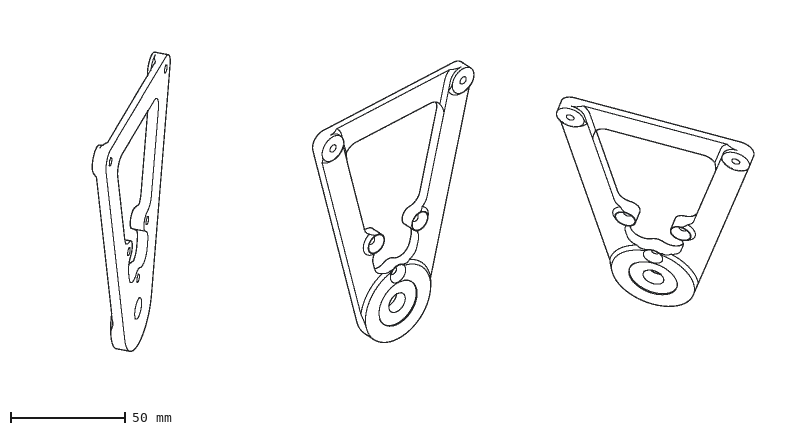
import cadquery as cq
import math

thickness = 6.4
leg_face = 1.5
bar_face = 3.3

hub_radius = 19.1
hub_bore = 9.5
hub_recess = 22.3
hub_recess_depth = 0.6

end_radius = 6.4
end_y = 38.1
end_z = 101.9
bar_height = 2 * end_radius
bar_corner_radius = 6.4

pin_hole = 3.6
screw_diameter = 9.5
screw_radius = screw_diameter / 2
sink_diameter = 8.9
sink_angle = 82.0
side_screw = (12.7, 38.2)
hub_screw = (0.0, 15.9)
web_radius = 6.4

tilt = math.atan2(end_y, end_z) - math.asin((hub_radius - end_radius) / math.hypot(end_y, end_z))
along = (math.sin(tilt), math.cos(tilt))
inward = (-math.cos(tilt), math.sin(tilt))


def leg_point(s, d):
    """Point at s along the leg from its upper end, d inward of its inner edge."""
    offset = end_radius + d
    return (
        end_y + s * along[0] + offset * inward[0],
        end_z + s * along[1] + offset * inward[1],
    )


def inner_edge_at(z):
    """Point of the leg's inner edge at height z."""
    s = (z - leg_point(0, 0)[1]) / along[1]
    return leg_point(s, 0)


def prism(points):
    return cq.Workplane("YZ").polyline(points).close().extrude(thickness)


def disc(center, radius):
    return cq.Workplane("YZ").center(*center).circle(radius).extrude(thickness)


def flared_boss(center, radius):
    """Boss that widens at 45 degrees from the front down to the leg face."""
    base = cq.Workplane("YZ", origin=(leg_face, 0, 0)).center(*center).circle(radius + leg_face)
    return base.extrude(-leg_face, taper=45)


def both_sides(body):
    return body.union(body.mirror("XZ"))


def web(boss, direction):
    """Fill between a screw boss and the leg, bounded by an arc tangent to both."""
    from_end = (boss[0] - end_y, boss[1] - end_z)
    boss_s = from_end[0] * along[0] + from_end[1] * along[1]
    boss_d = from_end[0] * inward[0] + from_end[1] * inward[1] - end_radius
    reach = math.sqrt((screw_radius + web_radius) ** 2 - (web_radius - boss_d) ** 2)
    arc_s = boss_s + direction * reach
    arc_center = leg_point(arc_s, web_radius)
    corners = [leg_point(arc_s, 0), arc_center, boss, leg_point(boss_s, 0)]
    return prism(corners).cut(disc(arc_center, web_radius))


def window():
    """Opening between the legs, below the crossbar."""
    upper = inner_edge_at(end_z + end_radius - bar_height)
    lower = inner_edge_at(hub_screw[1])
    corners = [upper, lower, (-lower[0], lower[1]), (-upper[0], upper[1])]
    opening = prism(corners).edges("|X and >Z").fillet(bar_corner_radius)
    fill = (
        disc(side_screw, screw_radius)
        .union(disc(hub_screw, screw_radius))
        .union(web(side_screw, 1))
        .union(web(side_screw, -1))
        .union(web(hub_screw, 1))
    )
    return opening.cut(both_sides(fill))


def outline():
    """Full-thickness silhouette without the round holes."""
    end_tangent = leg_point(0, -2 * end_radius)
    hub_tangent = (-hub_radius * inward[0], -hub_radius * inward[1])
    top = end_z + end_radius
    corners = [(end_y, top), end_tangent, hub_tangent]
    mirrored = [(-y, z) for y, z in reversed(corners)]
    body = prism(corners + mirrored).union(disc((0, 0), hub_radius))
    body = body.union(both_sides(disc((end_y, end_z), end_radius)))
    return body.cut(window())


def leg_slot(front, half_width):
    """Sketch of the leg, a slot from its upper end down beside the hub."""
    length = math.sqrt(end_y ** 2 + end_z ** 2 - (hub_radius - end_radius) ** 2)
    sketch = cq.Workplane("YZ", origin=(front, 0, 0)).center(*leg_point(-length / 2, -end_radius))
    return sketch.slot2D(length + 2 * half_width, 2 * half_width, 90 - math.degrees(tilt))


def leg():
    """Part of the leg in front of the crossbar face, with 45 degree sides."""
    rise = bar_face - leg_face
    return leg_slot(bar_face, end_radius + rise).extrude(-rise, taper=45)


def end_boss():
    """Flared boss at the upper end of the leg, no wider than the leg."""
    flare = flared_boss((end_y, end_z), end_radius)
    return flare.intersect(leg_slot(0, end_radius).extrude(leg_face))


def countersink(center):
    sink_radius = sink_diameter / 2
    depth = sink_radius / math.tan(math.radians(sink_angle / 2))
    cone = cq.Solid.makeCone(
        sink_radius, 0, depth, pnt=cq.Vector(0, *center), dir=cq.Vector(1, 0, 0)
    )
    return disc(center, pin_hole / 2).union(cq.Workplane(cone))


def bar_recess():
    """Space in front of the crossbar, between the sloping sides of the legs."""
    recess_bottom = (end_z + hub_radius) / 2
    recess_height = 2 * (end_z - recess_bottom)
    space = cq.Workplane("YZ").center(0, end_z).rect(2 * end_z, recess_height).extrude(bar_face)
    return space.cut(both_sides(leg()))


silhouette = outline()
plate = cq.Workplane("YZ", origin=(leg_face, 0, 0)).rect(4 * end_z, 4 * end_z)
plate = plate.extrude(thickness - leg_face).cut(bar_recess())
bosses = both_sides(end_boss())
bosses = bosses.union(both_sides(flared_boss(side_screw, screw_radius)))
bosses = bosses.union(flared_boss((0, 0), hub_radius))
bosses = bosses.union(flared_boss(hub_screw, screw_radius))
result = silhouette.intersect(plate.union(bosses))

result = result.cut(both_sides(disc((end_y, end_z), pin_hole / 2)))
result = result.cut(both_sides(countersink(side_screw)))
result = result.cut(countersink(hub_screw))
result = result.cut(disc((0, 0), hub_bore / 2))
result = result.cut(cq.Workplane("YZ").circle(hub_recess / 2).extrude(hub_recess_depth))